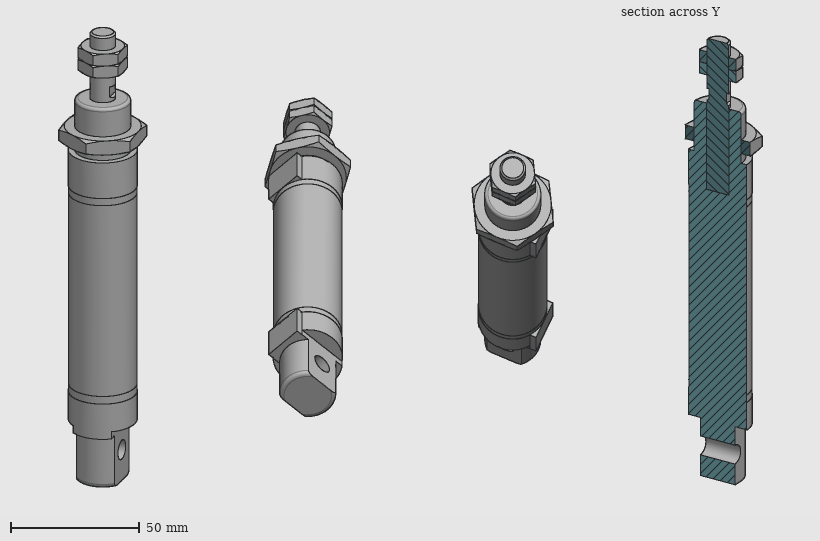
import cadquery as cq
import math

total_height = 189.0

cap_diameter = 27.0
tube_inset = 0.142
seam_diameter = 26.8
tube_diameter = cap_diameter - 2 * tube_inset
nose_diameter = 22.0
rear_cap_bottom = 22.0
rear_cap_top = 36.9
tube_bottom = 40.0
tube_top = 121.0
front_cap_bottom = 124.0
front_cap_top = 139.1
nose_top = 161.0
nose_fillet = 1.3

clevis_thickness = 16.0
clevis_fillet = 1.7
flats_top = 25.0
pivot_diameter = 8.0
pivot_height = 13.0

pad_width = 15.9

rod_diameter = 10.0
rod_bottom = front_cap_bottom
rod_chamfer = 0.8
spanner_flats = 8.1
spanner_bottom = 163.1
spanner_top = 167.3
spanner_ramp_angle = 45.0

mount_nut_flats = 30.0
mount_nut_bottom = 143.0
mount_nut_height = 6.0
rod_nut_flats = 17.0
rod_nut_bottom = 173.0
rod_nut_height = 5.1
rod_nut_count = 2
nut_chamfer_angle = 20.0


def cylinder(diameter, bottom, top):
    """A cylinder on the Z axis between two heights."""
    return cq.Workplane("XY").workplane(offset=bottom).circle(diameter / 2).extrude(top - bottom)


def port_pad(bottom, top):
    """A flat block that brings a cap out to a plane tangent to it on the +Y side."""
    depth = cap_diameter / 2
    pad = cq.Workplane("XY").box(pad_width, depth, top - bottom, centered=(True, False, False))
    return pad.translate((0, 0, bottom))


def flats_cutter(thickness, bottom, top, ramp_angle=0):
    """Blocks that leave flats facing -X and +X, with lower ends that fall outward at the ramp angle."""
    inner = thickness / 2
    outer = inner + cap_diameter
    drop = cap_diameter * math.tan(math.radians(ramp_angle))
    profile = [(inner, bottom), (outer, bottom - drop), (outer, top), (inner, top)]
    cutter = cq.Workplane("XZ").polyline(profile).close().extrude(cap_diameter, both=True)
    return cutter.union(cutter.mirror("YZ"))


def make_housing():
    """The clevis, caps, tube and nose in one piece, with the pivot hole and the rod bore."""
    clevis = cylinder(nose_diameter, 0, rear_cap_bottom).faces("<Z").edges().fillet(clevis_fillet)
    nose = cylinder(nose_diameter, front_cap_top, nose_top).faces(">Z").edges().fillet(nose_fillet)
    solid_housing = (
        clevis.union(cylinder(cap_diameter, rear_cap_bottom, rear_cap_top))
        .union(cylinder(seam_diameter, rear_cap_top, tube_bottom))
        .union(cylinder(tube_diameter, tube_bottom, tube_top))
        .union(cylinder(seam_diameter, tube_top, front_cap_bottom))
        .union(cylinder(cap_diameter, front_cap_bottom, front_cap_top))
        .union(nose)
        .union(port_pad(rear_cap_bottom, rear_cap_top))
        .union(port_pad(front_cap_bottom, front_cap_top))
    )
    pivot_hole = (
        cq.Workplane("YZ")
        .center(0, pivot_height)
        .circle(pivot_diameter / 2)
        .extrude(clevis_thickness, both=True)
    )
    rod_bore = cylinder(rod_diameter, rod_bottom, nose_top)
    clevis_flats = flats_cutter(clevis_thickness, 0, flats_top)
    return solid_housing.cut(clevis_flats).cut(pivot_hole).cut(rod_bore)


def make_rod():
    """The piston rod, with a chamfered tip and two spanner flats."""
    rod = cylinder(rod_diameter, rod_bottom, total_height).faces(">Z").edges().chamfer(rod_chamfer)
    return rod.cut(flats_cutter(spanner_flats, spanner_bottom, spanner_top, spanner_ramp_angle))


def make_nut(flats, bottom, height, bore_diameter):
    """A hexagon nut with flats facing X and its corners chamfered conically at both ends."""
    corner_radius = flats / math.sqrt(3)
    chamfer_radius = flats / 2
    drop = (corner_radius - chamfer_radius) * math.tan(math.radians(nut_chamfer_angle))
    hexagon = cq.Workplane("XY").polygon(6, 2 * corner_radius).extrude(height)
    prism = hexagon.rotate((0, 0, 0), (0, 0, 1), 30)
    turned_blank = (
        cq.Workplane("XZ")
        .polyline(
            [
                (0, 0),
                (chamfer_radius, 0),
                (corner_radius, drop),
                (corner_radius, height - drop),
                (chamfer_radius, height),
                (0, height),
            ]
        )
        .close()
        .revolve(360, (0, 0, 0), (0, 1, 0))
    )
    nut = prism.intersect(turned_blank).translate((0, 0, bottom))
    return nut.cut(cylinder(bore_diameter, bottom, bottom + height))


housing = make_housing()
rod = make_rod()
mount_nut = make_nut(mount_nut_flats, mount_nut_bottom, mount_nut_height, nose_diameter)
rod_nuts = [
    make_nut(rod_nut_flats, rod_nut_bottom + index * rod_nut_height, rod_nut_height, rod_diameter)
    for index in range(rod_nut_count)
]

result = cq.Compound.makeCompound(
    [housing.val(), rod.val(), mount_nut.val(), *[nut.val() for nut in rod_nuts]]
)